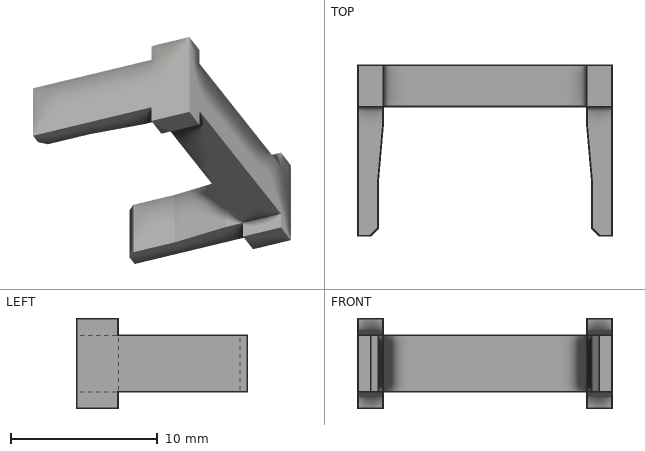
import cadquery as cq

length = 17.3
depth = 11.6
ear_height = 6.1

bar_depth = 2.82
bar_height = 3.88
ear_width = 1.71

arm_tip_width = 1.37
root_length = 1.26
tip_length = 3.6
tip_chamfer = 0.5

half_length = length / 2
back_y = depth / 2
front_y = -depth / 2
bar_front_y = back_y - bar_depth
root_inner_x = half_length - ear_width
tip_inner_x = half_length - arm_tip_width


def make_crossbar():
    """Bar joining the two arms along the back."""
    return cq.Workplane("XY").box(length, bar_depth, bar_height).translate((0, back_y - bar_depth / 2, 0))


def make_ear():
    """Right-hand end block, standing above and below the crossbar."""
    center = (half_length - ear_width / 2, back_y - bar_depth / 2, 0)
    return cq.Workplane("XY").box(ear_width, bar_depth, ear_height).translate(center)


def make_arm():
    """Right-hand arm: straight root, tapered middle, slim tip with a chamfered inner corner."""
    outline = [
        (half_length, back_y),
        (root_inner_x, back_y),
        (root_inner_x, bar_front_y - root_length),
        (tip_inner_x, front_y + tip_length),
        (tip_inner_x, front_y + tip_chamfer),
        (tip_inner_x + tip_chamfer, front_y),
        (half_length, front_y),
    ]
    return cq.Workplane("XY").polyline(outline).close().extrude(bar_height / 2, both=True)


right_end = make_ear().union(make_arm())
left_end = right_end.mirror("YZ")
result = make_crossbar().union(right_end).union(left_end).clean()